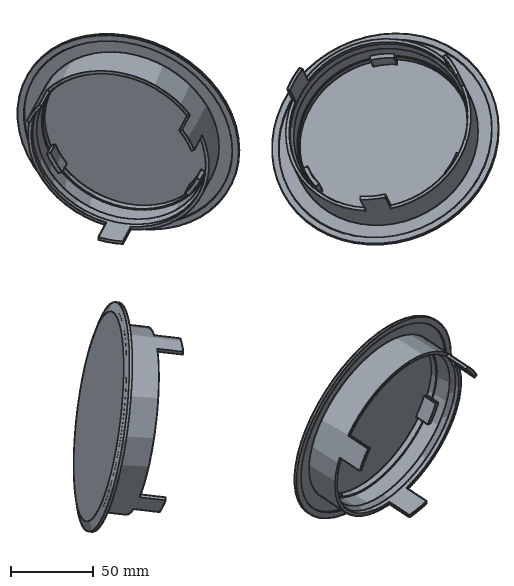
import cadquery as cq

cover_radius = 69.8
face_radius = 63.8
bevel_depth = 2.1
rim_depth = 3.9
floor_depth = 3.3
tab_depth = 12.8
tab_width = 14.8
tab_outer_radius = 52.2
tab_inner_radius = 49.4
tab_angles = (90, 210, 330)

flange_radius = 65.7
flange_front_depth = 1.4
flange_back_depth = 2.7
tube_radius = 57.0
tube_depth = 23.6
lip_radius = 52.6
lip_depth = 7.3
bore_radius = 53.4
mouth_radius = 55.0
flare_end_depth = 20.8
flare_start_depth = 17.5
leg_width = 15.5
leg_depth = 39.8
leg_angles = (30, 150, 270)

face_y = 0.0


def revolve_profile(points):
    """Revolve (radius, depth) points about the Y axis."""
    profile = cq.Workplane("XY").polyline([(radius, face_y - depth) for radius, depth in points]).close()
    return profile.revolve(360, (0, 0, 0), (0, 1, 0))


def radial_slab(reach, width, start_depth, end_depth, angle):
    """Slab from the Y axis out to a given reach, running along -Y, at an angle in the XZ plane."""
    start_plane = cq.Workplane("XZ", origin=(0, face_y - start_depth, 0))
    slab = start_plane.center(reach / 2, 0).rect(reach, width).extrude(end_depth - start_depth)
    return slab.rotate((0, 0, 0), (0, -1, 0), angle)


def make_cover():
    """Bevelled disc with a flange recess, a central boss and three tabs."""
    cover = revolve_profile([
        (0, 0),
        (face_radius, 0),
        (cover_radius, bevel_depth),
        (cover_radius, rim_depth),
        (flange_radius, rim_depth),
        (flange_radius, flange_front_depth),
        (lip_radius, flange_front_depth),
        (lip_radius, floor_depth),
        (0, floor_depth),
    ])
    tab_start = cq.Workplane("XZ", origin=(0, face_y - floor_depth, 0))
    tab_wall = tab_start.circle(tab_outer_radius).circle(tab_inner_radius).extrude(tab_depth - floor_depth)
    for angle in tab_angles:
        slab = radial_slab(lip_radius, tab_width, floor_depth, tab_depth, angle)
        cover = cover.union(tab_wall.intersect(slab))
    return cover


def make_ring():
    """Flanged tube with an inner lip, a flared mouth and three legs."""
    ring = revolve_profile([
        (lip_radius, flange_front_depth),
        (flange_radius, flange_front_depth),
        (flange_radius, flange_back_depth),
        (tube_radius, flange_back_depth),
        (tube_radius, leg_depth),
        (mouth_radius, leg_depth),
        (mouth_radius, flare_end_depth),
        (bore_radius, flare_start_depth),
        (bore_radius, lip_depth),
        (lip_radius, lip_depth),
    ])
    gaps = cq.Workplane("XZ", origin=(0, face_y - tube_depth, 0)).circle(flange_radius)
    gaps = gaps.extrude(leg_depth - tube_depth)
    for angle in leg_angles:
        gaps = gaps.cut(radial_slab(flange_radius, leg_width, tube_depth, leg_depth, angle))
    return ring.cut(gaps)


cover = make_cover()
ring = make_ring()
result = cq.Compound.makeCompound([*cover.solids().vals(), *ring.solids().vals()])